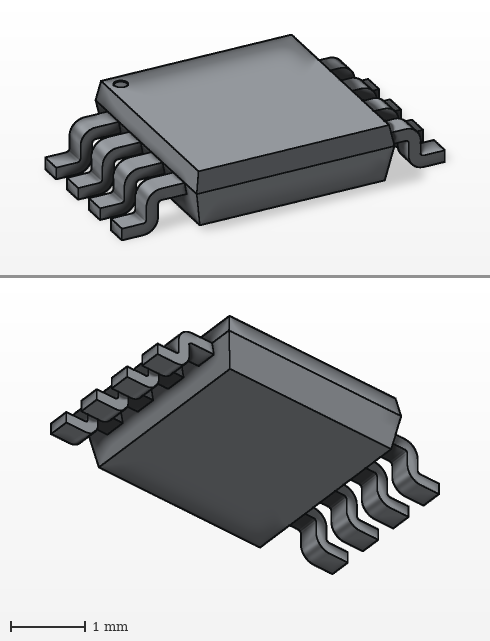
import cadquery as cq
import math

BODY_SIDE = 3.0
BODY_BOTTOM_Z = 0.1
PARTING_Z = 0.65
BODY_TOP_Z = 0.96
DRAFT_ANGLE = 10.0

LEADS_PER_SIDE = 4
LEAD_PITCH = 0.65
LEAD_WIDTH = 0.33
LEAD_THICKNESS = 0.18
LEAD_SPAN = 4.9
FOOT_LENGTH = 0.37
INNER_BEND_RADIUS = 0.05
OUTER_BEND_RADIUS = INNER_BEND_RADIUS + LEAD_THICKNESS
LEAD_EMBED = 0.2

MARKER_RADIUS = 0.1
MARKER_EDGE_DISTANCE = 0.2
MARKER_DEPTH = 0.02


def body_side_at(height):
    """Side of the body's square section at a signed height from the parting plane."""
    return BODY_SIDE - 2 * abs(height) * math.tan(math.radians(DRAFT_ANGLE))


def tapered_half(height):
    """Half of the body, narrowing from the parting plane to its outer face."""
    far_side = body_side_at(height)
    return (
        cq.Workplane("XY", origin=(0, 0, PARTING_Z))
        .rect(BODY_SIDE, BODY_SIDE)
        .workplane(offset=height)
        .rect(far_side, far_side)
        .loft(ruled=True)
    )


def make_body():
    upper_half = tapered_half(BODY_TOP_Z - PARTING_Z)
    lower_half = tapered_half(BODY_BOTTOM_Z - PARTING_Z)
    return upper_half.union(lower_half)


def make_lead(center_x):
    """Lead on the +Y side: a foot at Z = 0, an upright and a shoulder under the parting plane."""
    tip_y = LEAD_SPAN / 2
    upright_outer_y = tip_y - FOOT_LENGTH
    upright_inner_y = upright_outer_y - LEAD_THICKNESS
    root_y = BODY_SIDE / 2 - LEAD_EMBED
    shoulder_bottom_z = PARTING_Z - LEAD_THICKNESS

    lower_bend_y = upright_outer_y + INNER_BEND_RADIUS
    lower_bend_z = OUTER_BEND_RADIUS
    upper_bend_y = upright_inner_y - INNER_BEND_RADIUS
    upper_bend_z = PARTING_Z - OUTER_BEND_RADIUS

    return (
        cq.Workplane("YZ", origin=(center_x, 0, 0))
        .moveTo(tip_y, 0)
        .lineTo(tip_y, LEAD_THICKNESS)
        .lineTo(lower_bend_y, LEAD_THICKNESS)
        .radiusArc((upright_outer_y, lower_bend_z), INNER_BEND_RADIUS)
        .lineTo(upright_outer_y, upper_bend_z)
        .radiusArc((upper_bend_y, PARTING_Z), -OUTER_BEND_RADIUS)
        .lineTo(root_y, PARTING_Z)
        .lineTo(root_y, shoulder_bottom_z)
        .lineTo(upper_bend_y, shoulder_bottom_z)
        .radiusArc((upright_inner_y, upper_bend_z), INNER_BEND_RADIUS)
        .lineTo(upright_inner_y, lower_bend_z)
        .radiusArc((lower_bend_y, 0), -OUTER_BEND_RADIUS)
        .close()
        .extrude(LEAD_WIDTH / 2, both=True)
    )


def add_leads(part):
    for index in range(LEADS_PER_SIDE):
        center_x = (index - (LEADS_PER_SIDE - 1) / 2) * LEAD_PITCH
        lead = make_lead(center_x)
        part = part.union(lead).union(lead.mirror("XZ"))
    return part


def cut_pin_one_marker(part):
    top_side = body_side_at(BODY_TOP_Z - PARTING_Z)
    marker_xy = MARKER_EDGE_DISTANCE - top_side / 2
    marker = (
        cq.Workplane("XY", origin=(marker_xy, marker_xy, BODY_TOP_Z - MARKER_DEPTH))
        .circle(MARKER_RADIUS)
        .extrude(MARKER_DEPTH)
    )
    return part.cut(marker)


result = cut_pin_one_marker(add_leads(make_body()))